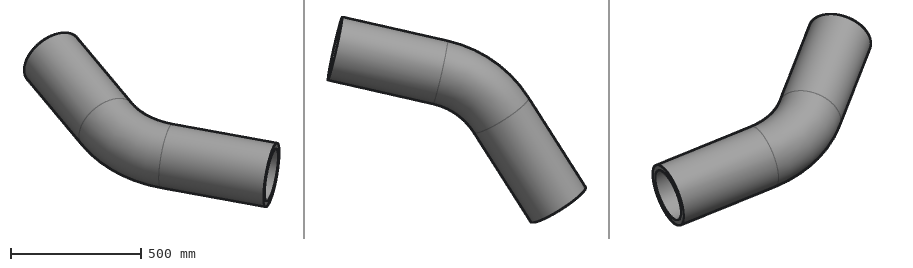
import cadquery as cq
import math

outer_diameter = 250.0
bore_diameter = 204.6
bend_angle = 45.0
bend_radius = 1.5 * outer_diameter
centre_to_end = 570.0

tangent_length = bend_radius * math.tan(math.radians(bend_angle / 2))
leg_length = centre_to_end - tangent_length


def ring(plane):
    """Pipe cross-section drawn on the given plane."""
    return cq.Workplane(plane).circle(outer_diameter / 2).circle(bore_diameter / 2)


def straight_leg():
    """Straight pipe along +X, starting at the origin."""
    return ring("YZ").extrude(leg_length)


def bend():
    """Pipe bend starting at the origin along +X and turning towards +Y."""
    return ring("YZ").revolve(bend_angle, (bend_radius, 0, 0), (bend_radius, 1, 0))


def bend_end():
    """X and Y of the bend centreline's far end, with the bend starting at the origin."""
    angle = math.radians(bend_angle)
    return bend_radius * math.sin(angle), bend_radius * (1 - math.cos(angle))


end_x, end_y = bend_end()

inlet_leg = straight_leg().translate((-leg_length, 0, 0))
outlet_leg = straight_leg().rotate((0, 0, 0), (0, 0, 1), bend_angle).translate((end_x, end_y, 0))

result = inlet_leg.union(bend()).union(outlet_leg)